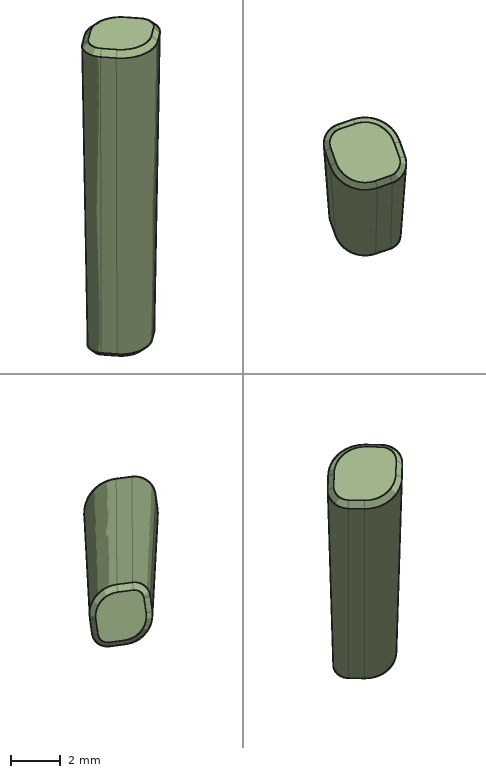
import cadquery as cq
import math

length = 14.7
width = 2.98
depth = 3.51
taper_inset = 0.22
chamfer = 0.25
chamfer_angle = 45

DIAGONAL = math.sqrt(0.5)
top_half_width = width / 2
top_half_depth = depth / 2

end_radius = (top_half_width / DIAGONAL - top_half_depth) / (1 / DIAGONAL - 1)
end_centre = top_half_depth - end_radius


def section(z, inset=0):
    """Closed outline at height z, shifted inward by inset from the upper shoulder."""
    half_width = top_half_width - inset
    half_depth = top_half_depth - inset
    side = half_width * DIAGONAL
    end_x = (end_radius - inset) * DIAGONAL
    end_y = end_centre + end_x
    return (
        cq.Workplane("XY", origin=(0, 0, z))
        .moveTo(side, -side)
        .threePointArc((half_width, 0), (side, side))
        .lineTo(end_x, end_y)
        .threePointArc((0, half_depth), (-end_x, end_y))
        .lineTo(-side, side)
        .threePointArc((-half_width, 0), (-side, -side))
        .lineTo(-end_x, -end_y)
        .threePointArc((0, -half_depth), (end_x, -end_y))
        .close()
    )


body_length = length - 2 * chamfer
taper_angle = math.degrees(math.atan(taper_inset / body_length))
lower_shoulder_z = chamfer
upper_shoulder_z = length - chamfer

body = section(upper_shoulder_z).extrude(-body_length, taper=taper_angle)
upper_chamfer = section(upper_shoulder_z).extrude(chamfer, taper=chamfer_angle)
lower_chamfer = section(lower_shoulder_z, taper_inset).extrude(-chamfer, taper=chamfer_angle)
result = body.union(upper_chamfer).union(lower_chamfer)